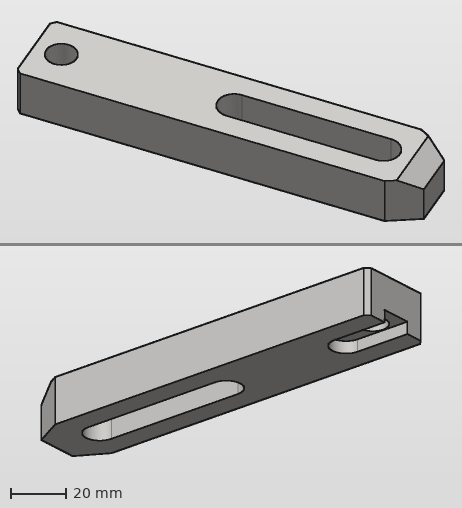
import cadquery as cq

length = 160.0
width = 32.0
height = 19.0

rear_chamfer = 2.0
nose_length = 12.5
nose_width = 18.0

slope_length = 8.6
slope_drop = 5.0

hole_diameter = 12.0
hole_x = 11.0

slot_width = 13.0
slot_start = 73.6
slot_end = 146.2

groove_width = slot_width
groove_depth = 5.0
groove_length = 30.0


def make_bar():
    half_width = width / 2
    half_nose = nose_width / 2
    outline = [
        (0, half_width - rear_chamfer),
        (rear_chamfer, half_width),
        (length - nose_length, half_width),
        (length, half_nose),
        (length, -half_nose),
        (length - nose_length, -half_width),
        (rear_chamfer, -half_width),
        (0, rear_chamfer - half_width),
    ]
    return cq.Workplane("XY").polyline(outline).close().extrude(height)


def make_nose_slope():
    triangle = [
        (length - slope_length, height),
        (length, height),
        (length, height - slope_drop),
    ]
    return cq.Workplane("XZ").polyline(triangle).close().extrude(width / 2, both=True)


def make_hole():
    return cq.Workplane("XY").center(hole_x, 0).circle(hole_diameter / 2).extrude(height)


def make_slot():
    return (
        cq.Workplane("XY")
        .center((slot_start + slot_end) / 2, 0)
        .slot2D(slot_end - slot_start, slot_width)
        .extrude(height)
    )


def make_groove():
    radius = groove_width / 2
    straight_length = groove_length - radius
    return (
        cq.Workplane("XY")
        .moveTo(0, -radius)
        .lineTo(straight_length, -radius)
        .threePointArc((groove_length, 0), (straight_length, radius))
        .lineTo(0, radius)
        .close()
        .extrude(groove_depth)
    )


result = (
    make_bar()
    .cut(make_nose_slope())
    .cut(make_hole())
    .cut(make_slot())
    .cut(make_groove())
)